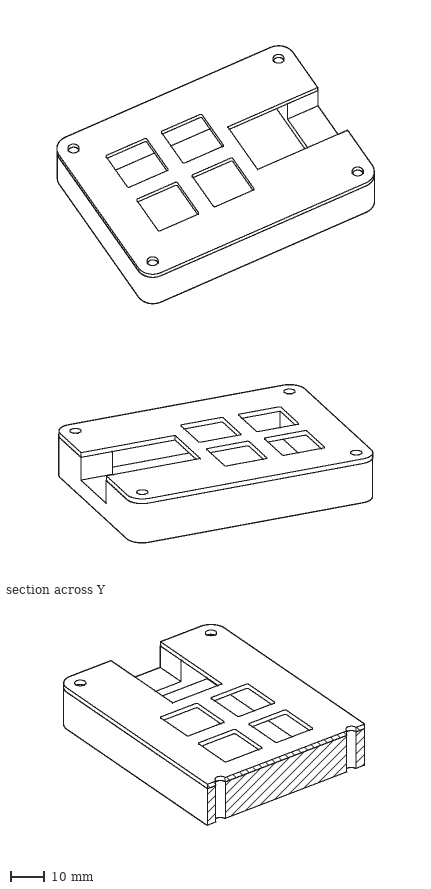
import cadquery as cq

TOTAL_LENGTH = 80.65
TOTAL_HEIGHT = 14.5

PLATE_SHIFT = 0.1
LENGTH = TOTAL_LENGTH - PLATE_SHIFT
WIDTH = 59.1
CORNER_RADIUS = 5.0
CASE_CENTER_Y = PLATE_SHIFT / 2
PLATE_CENTER_Y = -PLATE_SHIFT / 2

PLATE_THICKNESS = 1.5
CASE_HEIGHT = TOTAL_HEIGHT - PLATE_THICKNESS

SCREW_DIAMETER = 3.4
SCREW_SPACING_X = WIDTH - 2 * CORNER_RADIUS
SCREW_SPACING_Y = LENGTH - 2 * CORNER_RADIUS

WALL_THICKNESS = 10.5
FLOOR_THICKNESS = 3.0
CAVITY_WIDTH = WIDTH - 2 * WALL_THICKNESS
CAVITY_LENGTH = LENGTH - 2 * WALL_THICKNESS

SLOT_WIDTH = 18.55
PLATE_SLOT_LENGTH = 31.0
NOTCH_FLOOR_Z = 5.5

SWITCH_SIZE = 13.95
SWITCH_PITCH = 19.0
SWITCHES_PER_SIDE = 2
SWITCH_CORNER_RADIUS = 0.5
SWITCH_GRID_X = -1.0
SWITCH_GRID_Y = -11.7


def rounded_slab(center_y, base_z, thickness):
    """Rounded rectangular slab with a screw hole in each corner."""
    base = cq.Workplane("XY", origin=(0, center_y, base_z))
    slab = base.rect(WIDTH, LENGTH).extrude(thickness).edges("|Z").fillet(CORNER_RADIUS)
    screw_holes = (
        base.rect(SCREW_SPACING_X, SCREW_SPACING_Y, forConstruction=True)
        .vertices()
        .circle(SCREW_DIAMETER / 2)
        .extrude(thickness)
    )
    return slab.cut(screw_holes)


def block(width, y_min, y_max, z_min, z_max):
    """Box centred on X between the given Y and Z limits."""
    return (
        cq.Workplane("XY", origin=(0, (y_min + y_max) / 2, z_min))
        .rect(width, y_max - y_min)
        .extrude(z_max - z_min)
    )


def make_case():
    """Open-topped case with a notch through its +Y wall."""
    outer_y = CASE_CENTER_Y + LENGTH / 2
    cavity_front_y = CASE_CENTER_Y - CAVITY_LENGTH / 2
    cavity_back_y = CASE_CENTER_Y + CAVITY_LENGTH / 2
    cavity = block(CAVITY_WIDTH, cavity_front_y, cavity_back_y, FLOOR_THICKNESS, CASE_HEIGHT)
    notch = block(SLOT_WIDTH, cavity_back_y, outer_y, NOTCH_FLOOR_Z, CASE_HEIGHT)
    return rounded_slab(CASE_CENTER_Y, 0, CASE_HEIGHT).cut(cavity).cut(notch)


def make_plate():
    """Top plate with the open slot and the switch openings."""
    outer_y = PLATE_CENTER_Y + LENGTH / 2
    slot = block(SLOT_WIDTH, outer_y - PLATE_SLOT_LENGTH, outer_y, CASE_HEIGHT, TOTAL_HEIGHT)
    switch_openings = (
        cq.Workplane("XY", origin=(SWITCH_GRID_X, PLATE_CENTER_Y + SWITCH_GRID_Y, CASE_HEIGHT))
        .rarray(SWITCH_PITCH, SWITCH_PITCH, SWITCHES_PER_SIDE, SWITCHES_PER_SIDE)
        .rect(SWITCH_SIZE, SWITCH_SIZE)
        .extrude(PLATE_THICKNESS)
        .edges("|Z")
        .fillet(SWITCH_CORNER_RADIUS)
    )
    return rounded_slab(PLATE_CENTER_Y, CASE_HEIGHT, PLATE_THICKNESS).cut(slot).cut(switch_openings)


case = make_case()
plate = make_plate()

result = cq.Compound.makeCompound([case.solids().val(), plate.solids().val()])